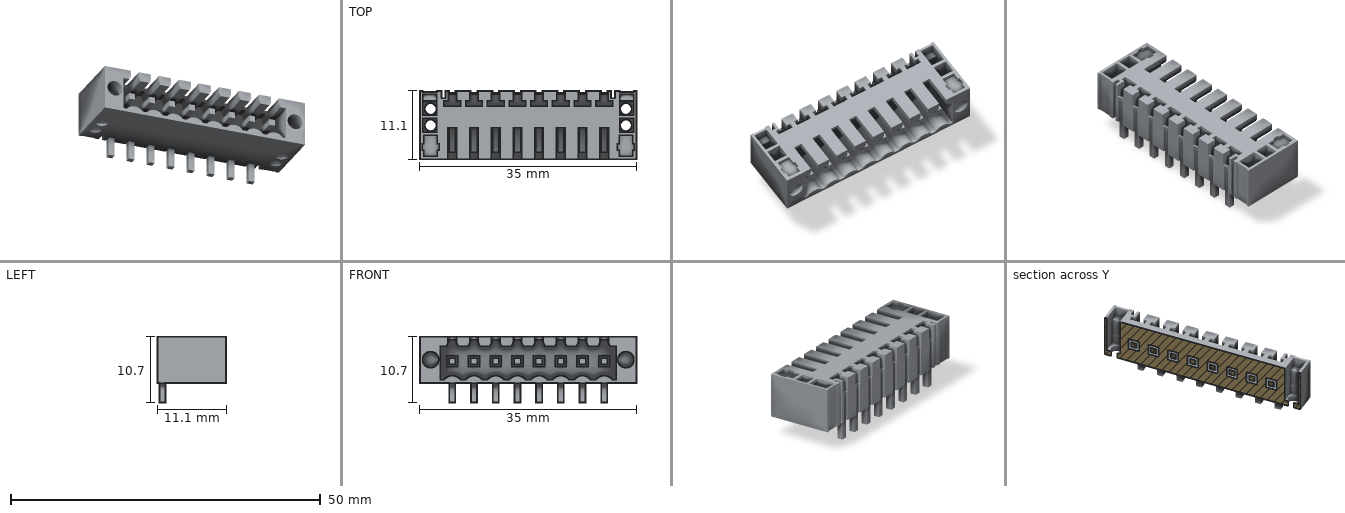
import cadquery as cq


LENGTH = 35.0
DEPTH = 11.05
HEIGHT = 7.5

PIN_COUNT = 8
PITCH = 3.5
PIN_SIZE = 1.0
PIN_TIP_Y = 1.15
PIN_AXIS_Z = 3.55
PIN_BACK_GAP = 0.3
PIN_TAIL = 3.15
PIN_XS = [(i - (PIN_COUNT - 1) / 2) * PITCH for i in range(PIN_COUNT)]

CAVITY_WIDTH = 28.42
CAVITY_DEPTH = 7.0
CAVITY_FLOOR_Z = 0.52
CAVITY_ROOF_Z = 5.9
ROOF_GROOVE_TOP_Z = 6.95
ROOF_GROOVE_TOP_WIDTH = 0.9
ROOF_GROOVE_BASE_WIDTH = 1.92
FLOOR_BUMP_WIDTH = 2.75
FLOOR_BUMP_RISE = 0.65
PIN_RECESS_SIZE = 1.82
PIN_RECESS_DEPTH = 0.7

ROOF_SLOT_WIDTH = 1.4
ROOF_SLOT_LENGTH = 5.08

T_STEM_WIDTH = 1.35
T_STEM_LENGTH = 1.58
T_HEAD_WIDTH = 2.7
T_HEAD_LENGTH = 0.88
T_FLOOR_Z = 4.55
LEDGE_THICKNESS = 0.52
LEDGE_RISE = 0.52

END_X = LENGTH / 2 - 1.75
SCREW_HOLE_DIAMETER = 2.6
SCREW_HOLE_DEPTH = 3.5
SCREW_HOLE_Z = 3.78
NUT_POCKET_DEPTH = 0.7
NUT_POCKET_WIDTH = 2.17
NUT_POCKET_Y = (0.5, 3.9)
NUT_TAB_WIDTH = 2.75
NUT_TAB_Y = (1.47, 2.55)
PEG_POCKET_X = LENGTH / 2 - 1.6
PEG_POCKET_WIDTH = 2.3
PEG_POCKET_FLOOR_Z = 1.05
PEG_HOLE_DIAMETER = 1.85
FRONT_POCKET_Y = (4.4, 6.65)
FRONT_PEG_Y = 5.5
BACK_POCKET_Y = (7.15, 10.55)
BACK_PEG_Y = 8.15
UPPER_STEP_Y = 9.5
UPPER_STEP_Z = 5.7
LOWER_STEP_Y = 9.38
LOWER_STEP_Z = 2.8
BACK_RELIEF_DEPTH = 0.15
BACK_SLOT_X = LENGTH / 2 - 3.8
BACK_SLOT_WIDTH = 0.6
BACK_SLOT_DEPTH = 1.15


def block(x_centre, width, y_range, z_range):
    """Box centred on x_centre that spans the given Y and Z ranges."""
    y0, y1 = y_range
    z0, z1 = z_range
    return cq.Workplane("XY").box(width, y1 - y0, z1 - z0, centered=(True, False, False)).translate(
        (x_centre, y0, z0)
    )


def pin(x):
    """Right-angle pin: a leg along Y that turns down into a tail below the housing."""
    back_y = DEPTH - PIN_BACK_GAP
    top_z = PIN_AXIS_Z + PIN_SIZE / 2
    leg = block(x, PIN_SIZE, (PIN_TIP_Y, back_y), (top_z - PIN_SIZE, top_z))
    tail = block(x, PIN_SIZE, (back_y - PIN_SIZE, back_y), (-PIN_TAIL, top_z))
    return leg.union(tail)


def roof_groove(x):
    """Trapezoidal groove that raises the cavity roof above a pin."""
    return (
        cq.Workplane("XZ")
        .polyline(
            [
                (x - ROOF_GROOVE_BASE_WIDTH / 2, CAVITY_ROOF_Z),
                (x - ROOF_GROOVE_TOP_WIDTH / 2, ROOF_GROOVE_TOP_Z),
                (x + ROOF_GROOVE_TOP_WIDTH / 2, ROOF_GROOVE_TOP_Z),
                (x + ROOF_GROOVE_BASE_WIDTH / 2, CAVITY_ROOF_Z),
            ]
        )
        .close()
        .extrude(-CAVITY_DEPTH)
    )


def floor_bump(x):
    """Rounded ridge along the cavity floor below a pin."""
    return (
        cq.Workplane("XZ")
        .moveTo(x - FLOOR_BUMP_WIDTH / 2, CAVITY_FLOOR_Z)
        .threePointArc(
            (x, CAVITY_FLOOR_Z + FLOOR_BUMP_RISE),
            (x + FLOOR_BUMP_WIDTH / 2, CAVITY_FLOOR_Z),
        )
        .close()
        .extrude(-CAVITY_DEPTH)
    )


def mating_cavity():
    """Space for the plug, open at the front, with its grooved roof and ridged floor."""
    cavity = block(0, CAVITY_WIDTH, (0, CAVITY_DEPTH), (CAVITY_FLOOR_Z, CAVITY_ROOF_Z))
    recess_z = (PIN_AXIS_Z - PIN_RECESS_SIZE / 2, PIN_AXIS_Z + PIN_RECESS_SIZE / 2)
    recess_y = (CAVITY_DEPTH, CAVITY_DEPTH + PIN_RECESS_DEPTH)
    for x in PIN_XS:
        cavity = cavity.union(roof_groove(x))
        cavity = cavity.union(block(x, PIN_RECESS_SIZE, recess_y, recess_z))
        cavity = cavity.cut(floor_bump(x))
    return cavity


def t_pocket(x):
    """T-shaped pocket open at the top and back, with a low ledge and a notch behind the pin."""
    stem_y = DEPTH - T_STEM_LENGTH
    ledge_y = DEPTH - LEDGE_THICKNESS
    stem = block(x, T_STEM_WIDTH, (stem_y, ledge_y), (T_FLOOR_Z, HEIGHT))
    above_ledge = block(x, T_STEM_WIDTH, (ledge_y, DEPTH), (T_FLOOR_Z + LEDGE_RISE, HEIGHT))
    head = block(x, T_HEAD_WIDTH, (stem_y - T_HEAD_LENGTH, stem_y), (T_FLOOR_Z, HEIGHT))
    notch = block(x, PIN_SIZE, (DEPTH - PIN_BACK_GAP, DEPTH), (0, HEIGHT))
    return stem.union(above_ledge).union(head).union(notch)


def peg_hole(x, y):
    """Round hole through the floor of a peg pocket."""
    return cq.Workplane("XY").center(x, y).circle(PEG_HOLE_DIAMETER / 2).extrude(PEG_POCKET_FLOOR_Z)


def peg_pockets(x, hole_x):
    """Two pockets open at the top, each with a hole through its floor; the back one is stepped."""
    pocket_z = (PEG_POCKET_FLOOR_Z, HEIGHT)
    back_start, back_end = BACK_POCKET_Y
    front = block(x, PEG_POCKET_WIDTH, FRONT_POCKET_Y, pocket_z)
    back = block(x, PEG_POCKET_WIDTH, (back_start, LOWER_STEP_Y), pocket_z)
    lower_step = block(x, PEG_POCKET_WIDTH, (LOWER_STEP_Y, UPPER_STEP_Y), (LOWER_STEP_Z, HEIGHT))
    upper_step = block(x, PEG_POCKET_WIDTH, (UPPER_STEP_Y, back_end), (UPPER_STEP_Z, HEIGHT))
    pockets = front.union(back).union(lower_step).union(upper_step)
    return pockets.union(peg_hole(hole_x, FRONT_PEG_Y)).union(peg_hole(hole_x, BACK_PEG_Y))


def end_features(side):
    """Everything cut from one end of the housing; side is -1 for the left end, 1 for the right."""
    x = side * END_X
    pocket_x = side * PEG_POCKET_X
    pocket_z = (HEIGHT - NUT_POCKET_DEPTH, HEIGHT)
    screw_hole = (
        cq.Workplane("XZ")
        .center(x, SCREW_HOLE_Z)
        .circle(SCREW_HOLE_DIAMETER / 2)
        .extrude(-SCREW_HOLE_DEPTH)
    )
    nut_pocket = block(x, NUT_POCKET_WIDTH, NUT_POCKET_Y, pocket_z)
    nut_tabs = block(x, NUT_TAB_WIDTH, NUT_TAB_Y, pocket_z)
    relief = block(pocket_x, PEG_POCKET_WIDTH, (DEPTH - BACK_RELIEF_DEPTH, DEPTH), (0, HEIGHT))
    slot = block(
        side * BACK_SLOT_X, BACK_SLOT_WIDTH, (DEPTH - BACK_SLOT_DEPTH, DEPTH), (0, HEIGHT)
    )
    cuts = screw_hole.union(nut_pocket).union(nut_tabs).union(relief).union(slot)
    return cuts.union(peg_pockets(pocket_x, x))


def housing_body():
    """Housing with all its openings and a fitting passage for each pin."""
    body = block(0, LENGTH, (0, DEPTH), (0, HEIGHT)).cut(mating_cavity())
    for x in PIN_XS:
        body = body.cut(block(x, ROOF_SLOT_WIDTH, (0, ROOF_SLOT_LENGTH), (CAVITY_ROOF_Z, HEIGHT)))
        body = body.cut(t_pocket(x))
        body = body.cut(pin(x))
    for side in (-1, 1):
        body = body.cut(end_features(side))
    return body


housing = housing_body()
pins = [pin(x) for x in PIN_XS]

result = cq.Compound.makeCompound([housing.val(), *[one_pin.val() for one_pin in pins]])